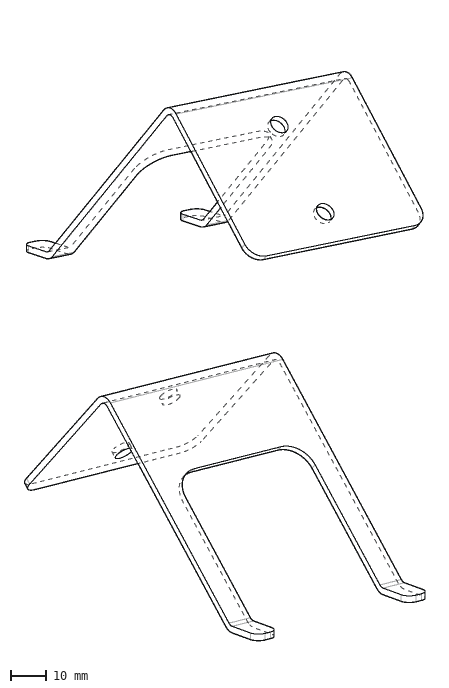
import cadquery as cq
import math

length = 106.5
width = 64.0
height = 56.7
thickness = 2.0
inner_radius = 2.0
outer_radius = inner_radius + thickness
diagonal = math.sqrt(0.5)

foot_flat = 11.1
foot_corner_radius = 3.0

arm_width = 8.0
slot_end_x = 47.1
slot_corner_radius = 8.0
slot_width = width - 2 * arm_width

plate_corner_radius = 5.0
hole_diameter = 5.5
hole_edge_distance = 10.0
hole_spacing = 30.0

foot_bend = (foot_flat, outer_radius)
ridge_z = height - outer_radius
ridge_x = foot_flat + (ridge_z - outer_radius) + 2 * diagonal * (inner_radius + outer_radius)
ridge_bend = (ridge_x, ridge_z)

end_x = length
end_z = ridge_z + 2 * outer_radius * diagonal - (end_x - ridge_x)


def on_bend(center, radius, angle):
    """Point on a bend circle at an angle in degrees from +X toward +Z."""
    turn = math.radians(angle)
    return (center[0] + radius * math.cos(turn), center[1] + radius * math.sin(turn))


def make_bent_strip():
    """Full-width bent sheet, centred on the XZ plane."""
    inner_end = (end_x - thickness * diagonal, end_z - thickness * diagonal)
    return (
        cq.Workplane("XZ")
        .moveTo(0, 0)
        .lineTo(foot_flat, 0)
        .threePointArc(on_bend(foot_bend, outer_radius, -67.5), on_bend(foot_bend, outer_radius, -45))
        .lineTo(*on_bend(ridge_bend, inner_radius, 135))
        .threePointArc(on_bend(ridge_bend, inner_radius, 90), on_bend(ridge_bend, inner_radius, 45))
        .lineTo(*inner_end)
        .lineTo(end_x, end_z)
        .lineTo(*on_bend(ridge_bend, outer_radius, 45))
        .threePointArc(on_bend(ridge_bend, outer_radius, 90), on_bend(ridge_bend, outer_radius, 135))
        .lineTo(*on_bend(foot_bend, inner_radius, -45))
        .threePointArc(on_bend(foot_bend, inner_radius, -67.5), on_bend(foot_bend, inner_radius, -90))
        .lineTo(0, thickness)
        .close()
        .extrude(width / 2, both=True)
    )


def make_slot_cutter():
    """Block square to the long leg, running off past the feet."""
    slope_start = on_bend(foot_bend, inner_radius, -45)
    slot_end_z = slope_start[1] + slot_end_x - slope_start[0]
    cut_length = length
    cut_depth = foot_flat + thickness
    long_leg = cq.Plane(
        origin=(slot_end_x, 0, slot_end_z), xDir=(1, 0, 1), normal=(-1, 0, 1)
    )
    return (
        cq.Workplane(long_leg)
        .center(-cut_length / 2, 0)
        .rect(cut_length, slot_width)
        .extrude(cut_depth, both=True)
        .edges("|(-1, 0, 1)")
        .edges(">(1, 0, 1)")
        .fillet(slot_corner_radius)
    )


def make_hole_cutters():
    """Mounting holes square to the short leg, on its centre line."""
    short_leg = cq.Plane(origin=(end_x, 0, end_z), xDir=(1, 0, -1), normal=(1, 0, 1))
    far_hole = -hole_edge_distance
    near_hole = far_hole - hole_spacing
    return (
        cq.Workplane(short_leg)
        .pushPoints([(far_hole, 0), (near_hole, 0)])
        .circle(hole_diameter / 2)
        .extrude(2 * thickness, both=True)
    )


bracket = make_bent_strip().edges("|(1, 0, 1)").edges(">(1, 0, -1)").fillet(plate_corner_radius)
bracket = bracket.cut(make_slot_cutter()).cut(make_hole_cutters())
result = bracket.faces("<X").edges("|Z").fillet(foot_corner_radius)